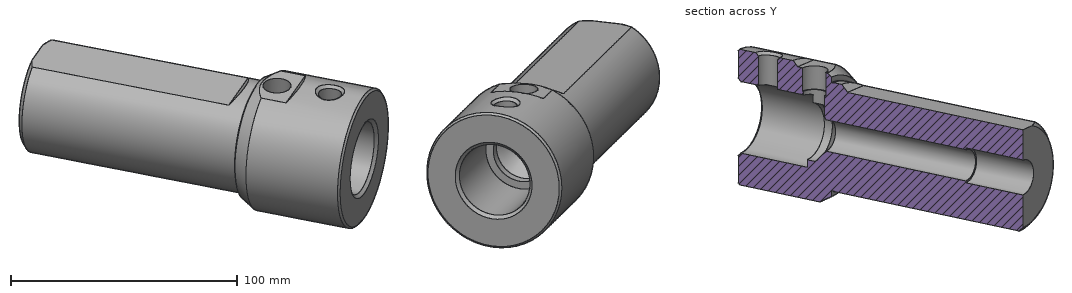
import cadquery as cq

length = 154.2
shank_radius = 50.7 / 2
head_radius = 63.2 / 2

shank_chamfer = 2.2
shank_flat_height = 22.2
shank_flat_end = 94.8

head_start = 103.5
head_face_radius = 27.8
head_cone_end = 110.1
head_end_chamfer = 1.0
head_flat_height = 29.1
head_flat_end = 121.8

undercut_width = 1.1
undercut_depth = 0.2
undercut_outer_radius = 26.0

coolant_radius = 14.3 / 2
inlet_radius = 16.0 / 2
inlet_depth = 30.8
pilot_radius = 26.0 / 2
socket_radius = 33.0 / 2
mouth_radius = 36.0 / 2
pilot_start = 112.4
socket_start = 116.7

screw_hole_x = 113.0
screw_hole_radius = 11.1 / 2
screw_entry_radius = 12.3 / 2
screw_entry_depth = 10.8
screw_entry_bottom = head_flat_height - screw_entry_depth
clamp_hole_x = 138.0
clamp_hole_radius = 10.2 / 2
clamp_rim_chamfer = 1.4

cutter_clearance = 1.5


def revolve_about_x(profile):
    """Revolve a closed (x, radius) outline around the part axis."""
    return profile.close().revolve(360, (0, 0, 0), (1, 0, 0))


def make_body():
    floor_radius = shank_radius - undercut_depth
    outline = (
        cq.Workplane("XY")
        .lineTo(0, shank_radius - shank_chamfer)
        .lineTo(shank_chamfer, shank_radius)
        .lineTo(head_start - undercut_width, shank_radius)
        .lineTo(head_start - undercut_width + undercut_depth, floor_radius)
        .lineTo(head_start + undercut_depth, floor_radius)
        .lineTo(head_start, undercut_outer_radius)
        .lineTo(head_start, head_face_radius)
        .lineTo(head_cone_end, head_radius)
        .lineTo(length - head_end_chamfer, head_radius)
        .lineTo(length, head_radius - head_end_chamfer)
        .lineTo(length, 0)
    )
    return revolve_about_x(outline)


def make_bore():
    cone_length = pilot_radius - coolant_radius
    mouth_length = mouth_radius - socket_radius
    outline = (
        cq.Workplane("XY")
        .lineTo(0, inlet_radius)
        .lineTo(inlet_depth, inlet_radius)
        .lineTo(inlet_depth, coolant_radius)
        .lineTo(pilot_start - cone_length, coolant_radius)
        .lineTo(pilot_start, pilot_radius)
        .lineTo(socket_start, pilot_radius)
        .lineTo(socket_start, socket_radius)
        .lineTo(length - mouth_length, socket_radius)
        .lineTo(length, mouth_radius)
        .lineTo(length, 0)
    )
    return revolve_about_x(outline)


def make_flat_cutter(start, end, height, round_radius):
    """Material above a flat on a round section, closed by a 45 degree ramp at its +X end."""
    top = round_radius + cutter_clearance
    return (
        cq.Workplane("XZ")
        .moveTo(start, height)
        .lineTo(end, height)
        .lineTo(end + top - height, top)
        .lineTo(start, top)
        .close()
        .extrude(head_radius, both=True)
    )


def make_radial_hole(x, radius, bottom, top):
    """Upright cylinder between two heights."""
    return cq.Workplane("XY", origin=(x, 0, bottom)).circle(radius).extrude(top - bottom)


rim_margin = 1.5
rim_reach = clamp_hole_radius + rim_margin
rim_box = cq.selectors.BoxSelector(
    (clamp_hole_x - rim_reach, -rim_reach, head_radius - rim_margin),
    (clamp_hole_x + rim_reach, rim_reach, head_radius + rim_margin),
)

result = (
    make_body()
    .cut(make_bore())
    .cut(make_flat_cutter(0, shank_flat_end, shank_flat_height, shank_radius))
    .cut(make_flat_cutter(head_start, head_flat_end, head_flat_height, head_radius))
    .cut(make_radial_hole(screw_hole_x, screw_hole_radius, 0, head_radius))
    .cut(make_radial_hole(screw_hole_x, screw_entry_radius, screw_entry_bottom, head_radius))
    .cut(make_radial_hole(clamp_hole_x, clamp_hole_radius, 0, head_radius))
    .edges(rim_box)
    .chamfer(clamp_rim_chamfer)
)